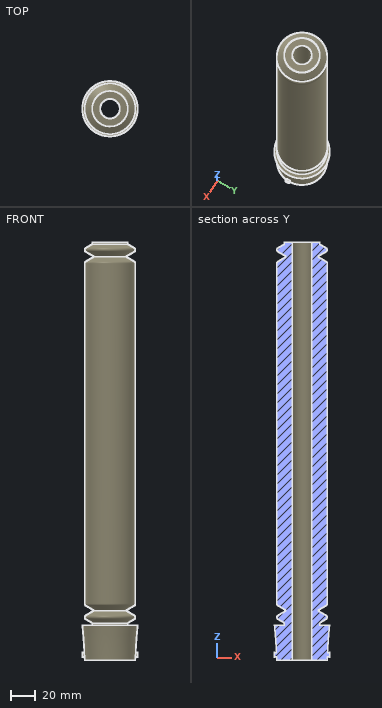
import cadquery as cq
import math

total_height = 345.65
bore_diameter = 16.0

cup_height = 29.2
cup_top_radius = 46.0 / 2
cup_bottom_radius = 42.0 / 2
cup_wall_sag = 0.25

pin_diameter = 4.0
pin_span = 46.1
pin_height = 4.6

tube_radius = 42.0 / 2
lip_radius = 29.4 / 2
rim_radius = 2.0
cone_angle = math.radians(30)
bead_offset = 6.4
neck_offset = 5.6

rim_rise = rim_radius * math.cos(cone_angle)
rim_end_radius = tube_radius - rim_radius * (1 - math.sin(cone_angle))
rim_mid_angle = (math.pi / 2 - cone_angle) / 2
rim_mid_rise = rim_radius * math.sin(rim_mid_angle)
rim_mid_radius = tube_radius - rim_radius * (1 - math.cos(rim_mid_angle))

neck_radius = rim_end_radius - (neck_offset - rim_rise) / math.tan(cone_angle)
lip_cone_rise = (rim_end_radius - lip_radius) * math.tan(cone_angle)
lip_height = bead_offset - rim_rise - lip_cone_rise

lower_bead = cup_height + bead_offset
lower_neck = lower_bead + neck_offset
tube_start = lower_neck + neck_offset
upper_bead = total_height - bead_offset
upper_neck = upper_bead - neck_offset
tube_end = upper_neck - neck_offset


def add_bead(outline, middle):
    """Rounded edge of a bead, drawn upwards between its two cones."""
    return outline.lineTo(rim_end_radius, middle - rim_rise).threePointArc(
        (tube_radius, middle), (rim_end_radius, middle + rim_rise)
    )


def make_cup():
    mid_radius = (cup_bottom_radius + cup_top_radius) / 2 - cup_wall_sag
    outline = (
        cq.Workplane("XZ")
        .lineTo(cup_bottom_radius, 0)
        .threePointArc((mid_radius, cup_height / 2), (cup_top_radius, cup_height))
        .lineTo(0, cup_height)
        .close()
    )
    return outline.revolve(360, (0, 0, 0), (0, 1, 0))


def make_tube():
    outline = (
        cq.Workplane("XZ")
        .moveTo(0, cup_height)
        .lineTo(lip_radius, cup_height)
        .lineTo(lip_radius, cup_height + lip_height)
    )
    outline = add_bead(outline, lower_bead)
    outline = (
        outline.lineTo(neck_radius, lower_neck)
        .lineTo(rim_end_radius, tube_start - rim_rise)
        .threePointArc((rim_mid_radius, tube_start - rim_mid_rise), (tube_radius, tube_start))
        .lineTo(tube_radius, tube_end)
        .threePointArc((rim_mid_radius, tube_end + rim_mid_rise), (rim_end_radius, tube_end + rim_rise))
        .lineTo(neck_radius, upper_neck)
    )
    outline = add_bead(outline, upper_bead)
    outline = (
        outline.lineTo(lip_radius, total_height - lip_height)
        .lineTo(lip_radius, total_height)
        .lineTo(0, total_height)
        .close()
    )
    return outline.revolve(360, (0, 0, 0), (0, 1, 0))


def make_pins():
    return (
        cq.Workplane("YZ", origin=(-pin_span / 2, 0, pin_height))
        .circle(pin_diameter / 2)
        .extrude(pin_span)
    )


def make_bore():
    return cq.Workplane("XY").circle(bore_diameter / 2).extrude(total_height)


result = make_cup().union(make_tube()).union(make_pins()).cut(make_bore())